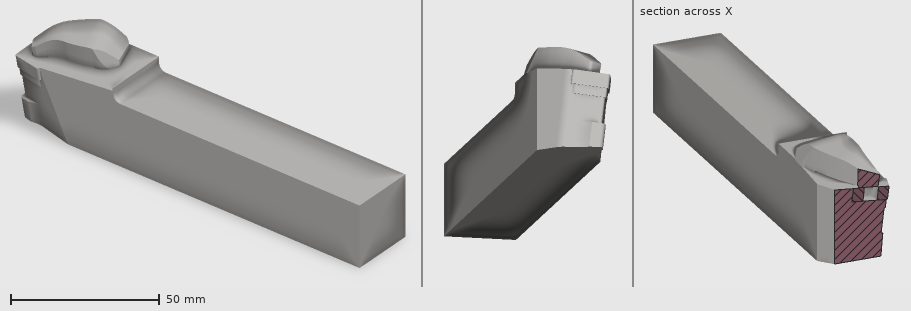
import cadquery as cq
import math

LENGTH = 150.0
SHANK = LENGTH / 6
HEAD_END = 44.1
HEAD_TOP = 30.3
STEP_RADIUS = 3.0
BEVEL_START = 11.5
BEVEL_ANGLE = 42.0
BEVEL_ROUND = 3.9
NOSE_INSET = 0.82
REACH = 1.5 * LENGTH

SLOPE = 0.1
PLANE_HEIGHT = 24.6

LEAD_ANGLE = 15.0
CORNER_ANGLE = 100.0
INSCRIBED = 12.8
EDGE = INSCRIBED / math.sin(math.radians(CORNER_ANGLE))
INSERT_THICKNESS = 4.8
INSERT_RADIUS = 0.8
INSERT_HOLE = 5.1
SHIM_THICKNESS = 3.2
SHIM_INSET = 0.42
SHIM_HEEL_RADIUS = 1.8

TIP_Y = 2.4
HALF_CORNER = math.radians(CORNER_ANGLE / 2)
BISECTOR = HALF_CORNER - math.radians(LEAD_ANGLE)
TIP_X = -INSERT_RADIUS * (math.cos(BISECTOR) / math.sin(HALF_CORNER) - 1)

FOOT_DEPTH = 17.0
FOOT_INSET = -0.5
FOOT_RADIUS = 1.5
FOOT_FLAT = 4.0
FOOT_SPREAD = 8.8

CLAMP_HEIGHT = 8.5
REAR_ANGLE = 20.0
REAR_CREST_END = 28.5
REAR_ROUND = 10.8
REAR_SLOPE = 43.0
FRONT_ANGLE = 35.0
FRONT_CREST_START = 21.0
FRONT_ROUND = 17.8
FRONT_SLOPE = 28.0
CLAMP_NOSE_RADIUS = 1.2
CLAMP_LEAN = 0.15
FLARE_SLOPE = 76.0
HEEL_FLARE_ANGLE = -41.0
HEEL_FLARE_REACH = 19.8
BACK_FLARE_ANGLE = 90.0
BACK_FLARE_REACH = 25.6
RELIEF_HEIGHT = 0.9
RELIEF_START = 12.8
RELIEF_END = 29.2


def tilted_plane(x, y, turn):
    """Clamping plane with its origin above (x, y) and its local X turned about Z by `turn` degrees."""
    run_x = math.cos(math.radians(turn))
    run_y = math.sin(math.radians(turn))
    return cq.Plane(
        origin=(x, y, PLANE_HEIGHT + SLOPE * (x + y)),
        xDir=(run_x, run_y, SLOPE * (run_x + run_y)),
        normal=(-SLOPE, -SLOPE, 1),
    )


TIP_PLANE = tilted_plane(TIP_X, TIP_Y, -LEAD_ANGLE)
CLAMP_PLANE = tilted_plane(0, 0, 0)


def on_edges(along_lead, along_end):
    """Point reached from the tip by going along the lead edge, then along the end edge."""
    angle = math.radians(CORNER_ANGLE)
    return (along_lead + along_end * math.cos(angle), along_end * math.sin(angle))


def nearest_edge(body, along_lead, along_end, height):
    """Edge of `body` nearest to a point given along the insert edges and above the insert's top."""
    point = TIP_PLANE.toWorldCoords((*on_edges(along_lead, along_end), height))
    return body.edges(cq.selectors.NearestToPointSelector(point))


def set_back(inset):
    """Run along an insert edge that sets a line back from the other edge by `inset`."""
    return inset / math.sin(math.radians(CORNER_ANGLE))


def corner_prism(inset, size, depth, height):
    """Prism with the insert's corner angle, set back by `inset` from both cutting edges."""
    near = set_back(inset)
    corners = [on_edges(near, near), on_edges(size, near), on_edges(size, size), on_edges(near, size)]
    return cq.Workplane(TIP_PLANE).workplane(offset=-depth).polyline(corners).close().extrude(height)


def make_insert_blank():
    blank = corner_prism(0, EDGE, INSERT_THICKNESS, INSERT_THICKNESS)
    return blank.edges(cq.selectors.ParallelDirSelector(TIP_PLANE.zDir)).fillet(INSERT_RADIUS)


def make_insert():
    hole = (
        cq.Workplane(TIP_PLANE)
        .center(*on_edges(EDGE / 2, EDGE / 2))
        .circle(INSERT_HOLE / 2)
        .extrude(-INSERT_THICKNESS)
    )
    return make_insert_blank().cut(hole)


def make_shim():
    depth = INSERT_THICKNESS + SHIM_THICKNESS
    middle = -depth + SHIM_THICKNESS / 2
    shim = corner_prism(SHIM_INSET, EDGE, depth, SHIM_THICKNESS)
    shim = nearest_edge(shim, 0, 0, middle).fillet(INSERT_RADIUS)
    for heel in ((EDGE, 0), (0, EDGE)):
        shim = nearest_edge(shim, *heel, middle).fillet(SHIM_HEEL_RADIUS)
    return shim


def make_foot():
    """Corner that swells out of the nose faces on hollow flanks and ends flat on the underside."""
    near = set_back(FOOT_INSET)
    root = set_back(NOSE_INSET)
    swell = root - near
    half = (FOOT_FLAT + FOOT_SPREAD) / 2
    flank = root - swell / 4
    foot = (
        cq.Workplane(TIP_PLANE)
        .workplane(offset=-FOOT_DEPTH)
        .moveTo(*on_edges(near, near))
        .lineTo(*on_edges(FOOT_FLAT, near))
        .threePointArc(on_edges(half, flank), on_edges(FOOT_SPREAD, root))
        .lineTo(*on_edges(FOOT_SPREAD, FOOT_SPREAD))
        .lineTo(*on_edges(root, FOOT_SPREAD))
        .threePointArc(on_edges(flank, half), on_edges(near, FOOT_FLAT))
        .close()
        .extrude(-SHANK)
    )
    foot = nearest_edge(foot, near, near, -FOOT_DEPTH - SHANK / 2).fillet(FOOT_RADIUS)
    above_floor = cq.Workplane().box(LENGTH, LENGTH, SHANK, centered=(True, True, False))
    return foot.intersect(above_floor)


def make_bar():
    """Shank with the raised, bevelled head, sloped along the clamping plane."""
    profile = (
        cq.Workplane("XZ")
        .lineTo(LENGTH, 0)
        .lineTo(LENGTH, SHANK)
        .lineTo(HEAD_END + STEP_RADIUS, SHANK)
        .radiusArc((HEAD_END, SHANK + STEP_RADIUS), STEP_RADIUS)
        .lineTo(HEAD_END, HEAD_TOP)
        .lineTo(0, HEAD_TOP)
        .close()
        .extrude(-SHANK)
    )
    bevel_drop = BEVEL_START * math.tan(math.radians(BEVEL_ANGLE))
    bevel = (
        cq.Workplane()
        .polyline([(0, SHANK), (BEVEL_START, SHANK), (0, SHANK - bevel_drop)])
        .close()
        .extrude(HEAD_TOP)
    )
    wedge = corner_prism(NOSE_INSET, REACH, REACH / 2, REACH)
    root = set_back(NOSE_INSET)
    wedge = nearest_edge(wedge, root, root, 0).fillet(INSERT_RADIUS)
    bar = profile.cut(bevel).intersect(wedge)
    bevel_edge = (0, SHANK - bevel_drop, SHANK / 2)
    bar = bar.edges(cq.selectors.NearestToPointSelector(bevel_edge)).fillet(BEVEL_ROUND)
    above = cq.Workplane(CLAMP_PLANE).rect(2 * HEAD_END, REACH).extrude(HEAD_TOP)
    head_zone = cq.Workplane().box(2 * HEAD_END, REACH, REACH)
    return bar.cut(above.intersect(head_zone))


def upright_plane(turn):
    """Plane square to the clamping plane: local X points along `turn`, local Y away from the holder."""
    plane = tilted_plane(0, 0, turn)
    return cq.Plane(origin=plane.origin, xDir=plane.xDir, normal=-plane.yDir)


def clamp_side(turn, crest_end, radius, slope):
    """Block under a crest that rounds off and slopes down across the direction `turn`."""
    angle = math.radians(slope)
    arc_run = radius * math.sin(angle)
    arc_drop = radius * (1 - math.cos(angle))
    half = angle / 2
    middle = (crest_end + radius * math.sin(half), CLAMP_HEIGHT - radius * (1 - math.cos(half)))
    end = (crest_end + arc_run, CLAMP_HEIGHT - arc_drop)
    foot = (end[0] + end[1] / math.tan(angle), 0)
    return (
        cq.Workplane(upright_plane(turn))
        .moveTo(-2 * HEAD_END, 0)
        .lineTo(-2 * HEAD_END, CLAMP_HEIGHT)
        .lineTo(crest_end, CLAMP_HEIGHT)
        .threePointArc(middle, end)
        .lineTo(*foot)
        .close()
        .extrude(2 * HEAD_END, both=True)
    )


def make_clamp_outline():
    """Clamp walls: they lean towards -Y as they rise and run down through the clamping plane."""
    leaning = cq.Plane(origin=(0, 0, PLANE_HEIGHT), xDir=(1, 0, SLOPE), normal=(-SLOPE, -CLAMP_LEAN, 1))
    nose_corner = (3.8, 8.7)
    walls = (
        cq.Workplane(leaning)
        .moveTo(6.3, 4.6)
        .lineTo(7.8, 4.6)
        .lineTo(10.6, 5.8)
        .threePointArc((15.0, 7.2), (19.8, 7.2))
        .threePointArc((25.2, 7.4), (30.2, 8.2))
        .threePointArc((34.5, 9.6), (37.2, 12.9))
        .lineTo(33.9, 22.8)
        .threePointArc((29.4, 25.5), (24.2, 24.5))
        .threePointArc((15.8, 20.1), (7.8, 13.2))
        .lineTo(*nose_corner)
        .close()
        .extrude(CLAMP_HEIGHT, both=True)
    )
    nose_edge = cq.selectors.NearestToPointSelector(leaning.toWorldCoords(nose_corner))
    return walls.edges(nose_edge).fillet(CLAMP_NOSE_RADIUS)


def clamp_flare(turn, reach):
    """Material outside a sloping wall that meets the clamping plane `reach` out along `turn`."""
    top = reach - CLAMP_HEIGHT / math.tan(math.radians(FLARE_SLOPE))
    outside = 2 * HEAD_END
    return (
        cq.Workplane(upright_plane(turn))
        .polyline([(reach, 0), (outside, 0), (outside, CLAMP_HEIGHT), (top, CLAMP_HEIGHT)])
        .close()
        .extrude(outside, both=True)
    )


def make_clamp():
    rear = clamp_side(REAR_ANGLE, REAR_CREST_END, REAR_ROUND, REAR_SLOPE)
    front = clamp_side(FRONT_ANGLE + 180, -FRONT_CREST_START, FRONT_ROUND, FRONT_SLOPE)
    heel_flare = clamp_flare(HEEL_FLARE_ANGLE, HEEL_FLARE_REACH)
    back_flare = clamp_flare(BACK_FLARE_ANGLE, BACK_FLARE_REACH)
    relief = (
        cq.Workplane(upright_plane(FRONT_ANGLE))
        .moveTo(RELIEF_START, 0)
        .rect(RELIEF_END - RELIEF_START, RELIEF_HEIGHT, centered=False)
        .extrude(2 * HEAD_END, both=True)
    )
    clamp = make_clamp_outline().intersect(rear).intersect(front)
    return clamp.cut(heel_flare).cut(back_flare).cut(relief)


def make_holder():
    bar = make_bar().cut(make_insert_blank())
    return bar.union(make_shim()).union(make_foot()).union(make_clamp())


insert = make_insert()
holder = make_holder()
result = cq.Compound.makeCompound([holder.val(), insert.val()])